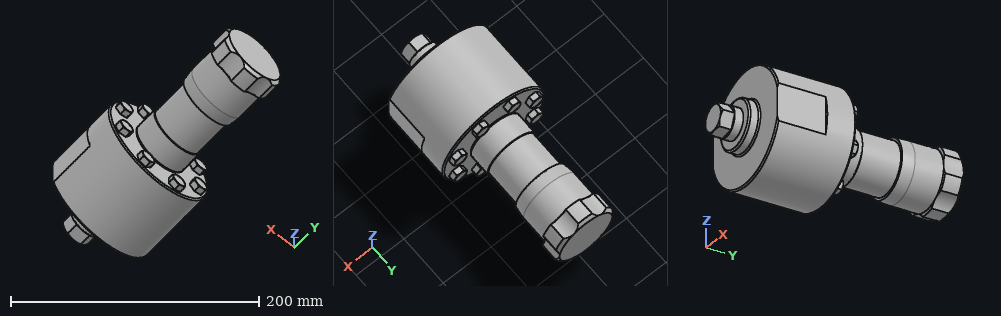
import cadquery as cq
import math

tip_hex_flats = 24.2
tip_hex_length = 12.2
tip_hex_turn = -7.0
neck_radius = 14.1
neck_end = 20.2

boss_radius = 23.0
boss_end_chamfer = 1.5
boss_foot_radius = 24.4
boss_foot_height = 1.3

body_radius = 53.34
body_front = 30.2
body_chamfer = 1.3
flange_rear = 102.9
flat_distance = 50.4
flat_end = 75.75

collar_radius = 25.4
collar_end = 125.5
collar_foot_radius = 24.6
collar_foot_height = 1.0
column_radius = 24.1
column_end = 162.3
sleeve_radius = 27.5
sleeve_lip_radius = 26.4
sleeve_taper_length = 11.2
sleeve_taper_bulge = 0.25

knob_radius = 30.8
knob_start = 200.5
knob_end = 219.46
knob_chamfer_length = 2.9
flute_count = 6
flute_half_angle = 16.4
flute_turn = -3.1

bolt_count = 8
bolt_circle_radius = 43.1
bolt_flats = 12.7
bolt_head_height = 6.0

hex_cone_angle = 30.0
hex_face_inset = 0.1

port_station = 52.2
port_mouth_radius = 13.9
port_radius = 12.1
port_floor_radius = 11.4
port_chamfer = port_mouth_radius - port_radius
port_depth = 20.0
passage_radius = 6.4
passage_offset = 5.4
passage_tilt = 16.0
core_radius = 17.0

port_floor_x = port_depth - flat_distance


def cylinder_along_y(radius, start, end):
    """Cylinder on the Y axis between two stations."""
    return cq.Workplane("XZ", origin=(0, start, 0)).circle(radius).extrude(start - end)


def polar_point(radius, angle):
    """Point in the XZ plane, its angle measured from -X toward +Z."""
    turn = math.radians(angle)
    return (-radius * math.cos(turn), radius * math.sin(turn))


def coned_cylinder(radius, root, tip, tip_radius, cone_length):
    """Cylinder on the Y axis, plain at its root station and narrowed by a cone at its tip."""
    cone_start = tip - math.copysign(cone_length, tip - root)
    profile = (
        cq.Workplane("XY")
        .moveTo(0, root)
        .lineTo(radius, root)
        .lineTo(radius, cone_start)
        .lineTo(tip_radius, tip)
        .lineTo(0, tip)
        .close()
    )
    return profile.revolve(360, (0, 0, 0), (0, 1, 0))


def make_hex(flats, root, tip, corner_angle):
    """Hexagonal prism on the Y axis, its corners rounded off by a cone at the tip."""
    corner_radius = flats / math.sqrt(3)
    corners = [polar_point(corner_radius, corner_angle + 60 * i) for i in range(6)]
    prism = cq.Workplane("XZ", origin=(0, root, 0)).polyline(corners).close().extrude(root - tip)
    tip_radius = flats / 2 - hex_face_inset
    cone_length = (corner_radius - tip_radius) * math.tan(math.radians(hex_cone_angle))
    return prism.intersect(coned_cylinder(corner_radius, root, tip, tip_radius, cone_length))


def make_turned_core():
    """Everything round from the neck to the sleeve, in one revolved profile."""
    taper_start = column_end + sleeve_taper_length
    taper_middle_radius = (sleeve_radius + sleeve_lip_radius) / 2 + sleeve_taper_bulge
    profile = (
        cq.Workplane("XY")
        .moveTo(0, tip_hex_length)
        .lineTo(neck_radius, tip_hex_length)
        .lineTo(neck_radius, neck_end)
        .lineTo(boss_radius - boss_end_chamfer, neck_end)
        .lineTo(boss_radius, neck_end + boss_end_chamfer)
        .lineTo(boss_radius, body_front - boss_foot_height)
        .lineTo(boss_foot_radius, body_front)
        .lineTo(body_radius - body_chamfer, body_front)
        .lineTo(body_radius, body_front + body_chamfer)
        .lineTo(body_radius, flange_rear - body_chamfer)
        .lineTo(body_radius - body_chamfer, flange_rear)
        .lineTo(collar_foot_radius, flange_rear)
        .lineTo(collar_foot_radius, flange_rear + collar_foot_height)
        .lineTo(collar_radius, flange_rear + collar_foot_height)
        .lineTo(collar_radius, collar_end)
        .lineTo(column_radius, collar_end)
        .lineTo(column_radius, column_end)
        .lineTo(sleeve_lip_radius, column_end)
        .threePointArc(
            (taper_middle_radius, column_end + sleeve_taper_length / 2),
            (sleeve_radius, taper_start),
        )
        .lineTo(sleeve_radius, knob_start)
        .lineTo(0, knob_start)
        .close()
    )
    return profile.revolve(360, (0, 0, 0), (0, 1, 0))


def cut_side_flats(body):
    """Two parallel flats on the body, open to its front face."""
    for side in (-1, 1):
        flat_depth = body_radius - flat_distance
        centre_x = side * (flat_distance + flat_depth / 2)
        cutter = cq.Workplane("XY").box(flat_depth, flat_end - body_front, 2 * body_radius)
        body = body.cut(cutter.translate((centre_x, (flat_end + body_front) / 2, 0)))
    return body


def make_knob():
    """Knob with a conical rear edge and evenly spaced concave flutes."""
    knob = coned_cylinder(knob_radius, knob_start, knob_end, sleeve_radius, knob_chamfer_length)
    half_angle = math.radians(flute_half_angle)
    half_width = knob_radius * math.sin(half_angle)
    flute_depth = knob_radius * math.cos(half_angle) - sleeve_radius
    flute_radius = (half_width**2 + flute_depth**2) / (2 * flute_depth)
    for i in range(flute_count):
        angle = flute_turn + 360 / flute_count * i
        x, z = polar_point(sleeve_radius + flute_radius, angle)
        flute = cylinder_along_y(flute_radius, knob_start, knob_end).translate((x, 0, z))
        knob = knob.cut(flute)
    return knob


def add_bolts(body):
    """Ring of hexagonal bolt heads on the rear face of the flange."""
    head_end = flange_rear + bolt_head_height
    pitch = 360 / bolt_count
    for i in range(bolt_count):
        x, z = polar_point(bolt_circle_radius, pitch * (i + 0.5))
        head = make_hex(bolt_flats, flange_rear, head_end, pitch * i)
        body = body.union(head.translate((x, 0, z)))
    return body


def make_port():
    """Slightly tapered bore with a chamfered mouth, running in from the -X flat."""
    return (
        cq.Workplane("XY")
        .moveTo(-body_radius, 0)
        .lineTo(-body_radius, port_mouth_radius)
        .lineTo(-flat_distance, port_mouth_radius)
        .lineTo(port_chamfer - flat_distance, port_radius)
        .lineTo(port_floor_x, port_floor_radius)
        .lineTo(port_floor_x, 0)
        .close()
        .revolve(360, (0, 0, 0), (1, 0, 0))
        .translate((0, port_station, 0))
    )


def make_passage():
    """Slanted hole from the port floor down to the solid core of the body."""
    tilt = math.radians(passage_tilt)
    direction = cq.Vector(math.cos(tilt), -math.sin(tilt), 0)
    entry = cq.Vector(port_floor_x, port_station - passage_offset, 0)
    overrun = passage_radius * math.tan(tilt)
    length = -port_floor_x + overrun
    hole = cq.Solid.makeCylinder(passage_radius, length, entry - direction * overrun, direction)
    beyond_floor = cq.Workplane("XY").box(-port_floor_x, 2 * port_station, 2 * body_radius)
    beyond_floor = beyond_floor.translate((port_floor_x / 2, port_station, 0))
    core = cylinder_along_y(core_radius, 0, flange_rear)
    return cq.Workplane(obj=hole).intersect(beyond_floor).cut(core)


result = cut_side_flats(make_turned_core())
result = result.union(make_hex(tip_hex_flats, tip_hex_length, 0, tip_hex_turn))
result = result.union(make_knob())
result = add_bolts(result)
result = result.cut(make_port()).cut(make_passage())